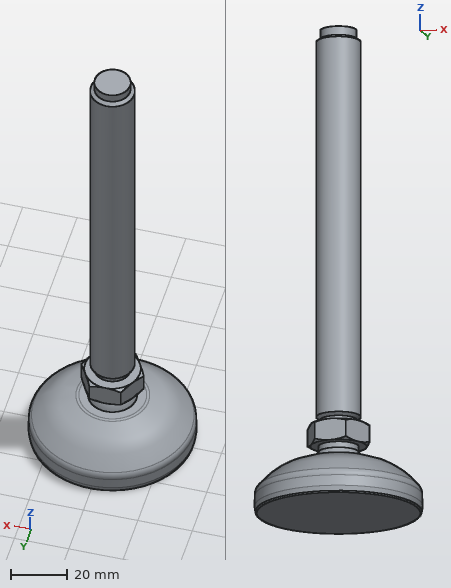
import cadquery as cq
import math

foot_radius = 30.0
lip_base_radius = 29.6
bottom_bevel = 0.5
lip_height = 2.5
side_top_radius = 29.8
side_top_height = 6.4
dome_base_radius = 28.9
dome_base_height = 9.0
shoulder_bulge = 0.27
dome_rim_radius = 13.1
dome_mid_radius = 22.0
dome_mid_height = 15.2
foot_height = 19.1
rim_drop = 0.2
foot_flat_radius = 12.0

ball_radius = 18.3 / 2
stem_neck_radius = 14.4 / 2
ball_top = 22.3

hex_bottom = 24.5
hex_top = 32.3
hex_across_flats = 20.0
hex_face_radius = hex_across_flats / 2
hex_chamfer_angle = 30

rod_radius = 16 / 2
rod_neck_radius = 13.0 / 2
rod_chamfer_bottom = 34.2
rod_bottom = 35.3
rod_top = 173.0
rod_tip_bottom = 174.0
total_height = 177.2


def make_foot():
    """Domed foot with a tapered lip and a narrow bevel around its flat top."""
    shoulder_mid = (
        (side_top_radius + dome_base_radius) / 2 + shoulder_bulge,
        (side_top_height + dome_base_height) / 2 + shoulder_bulge,
    )
    return (
        cq.Workplane("XZ")
        .lineTo(lip_base_radius - bottom_bevel, 0)
        .lineTo(lip_base_radius, bottom_bevel)
        .lineTo(foot_radius, lip_height)
        .lineTo(side_top_radius, side_top_height)
        .threePointArc(shoulder_mid, (dome_base_radius, dome_base_height))
        .threePointArc((dome_mid_radius, dome_mid_height), (dome_rim_radius, foot_height - rim_drop))
        .lineTo(foot_flat_radius, foot_height)
        .lineTo(0, foot_height)
        .close()
        .revolve()
    )


def make_ball():
    """Ball rising out of the foot, cut flat where the neck begins."""
    centre_height = ball_top - math.sqrt(ball_radius**2 - stem_neck_radius**2)
    rise = ball_top - centre_height
    mid_angle = math.asin(rise / ball_radius) / 2
    arc_mid = (ball_radius * math.cos(mid_angle), centre_height + ball_radius * math.sin(mid_angle))
    return (
        cq.Workplane("XZ")
        .moveTo(0, centre_height)
        .lineTo(ball_radius, centre_height)
        .threePointArc(arc_mid, (stem_neck_radius, ball_top))
        .lineTo(0, ball_top)
        .close()
        .revolve()
    )


def make_spindle():
    """Stem neck, relief neck and chamfered rod as one turned body."""
    outline = [
        (0, ball_top),
        (stem_neck_radius, ball_top),
        (stem_neck_radius, hex_bottom),
        (rod_neck_radius, hex_bottom),
        (rod_neck_radius, rod_chamfer_bottom),
        (rod_radius, rod_bottom),
        (rod_radius, rod_top),
        (rod_neck_radius, rod_tip_bottom),
        (rod_neck_radius, total_height),
        (0, total_height),
    ]
    return cq.Workplane("XZ").polyline(outline).close().revolve()


def make_hexagon():
    """Hexagon with corners on X, its corners bevelled at both ends."""
    across_corners = hex_across_flats / math.cos(math.radians(30))
    corner_radius = across_corners / 2
    bevel_height = (corner_radius - hex_face_radius) * math.tan(math.radians(hex_chamfer_angle))
    prism = (
        cq.Workplane("XY", origin=(0, 0, hex_bottom))
        .polygon(6, across_corners)
        .extrude(hex_top - hex_bottom)
    )
    bevelled_blank = (
        cq.Workplane("XY", origin=(0, 0, hex_bottom))
        .circle(corner_radius)
        .extrude(hex_top - hex_bottom)
        .faces("<Z or >Z")
        .edges()
        .chamfer(bevel_height, corner_radius - hex_face_radius)
    )
    return prism.intersect(bevelled_blank)


result = make_foot().union(make_ball()).union(make_spindle()).union(make_hexagon())